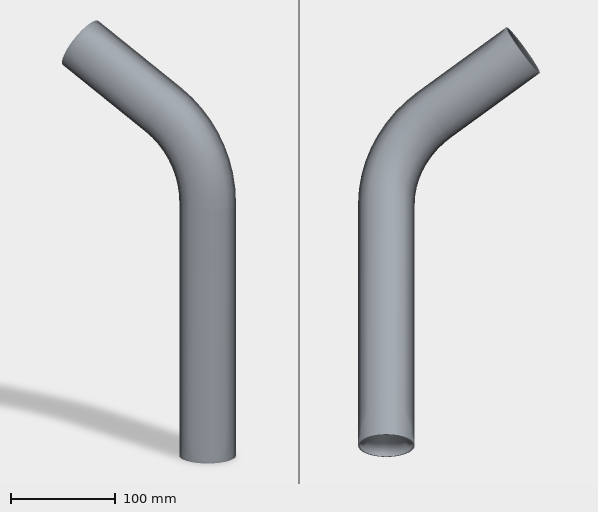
import cadquery as cq
import math

outer_diameter = 54.0
wall = 1.5
outer_radius = outer_diameter / 2

vertical_length = 252.0
bend_radius = 97.5
bend_angle = 60
inclined_length = 105.5


def bend_point(angle):
    """Point on the bend centreline after turning by angle degrees."""
    turn = math.radians(angle)
    return (
        -bend_radius * (1 - math.cos(turn)),
        vertical_length + bend_radius * math.sin(turn),
    )


bend_end = bend_point(bend_angle)
tube_end = (
    bend_end[0] - inclined_length * math.sin(math.radians(bend_angle)),
    bend_end[1] + inclined_length * math.cos(math.radians(bend_angle)),
)

centreline = (
    cq.Workplane("XZ")
    .moveTo(0, 0)
    .lineTo(0, vertical_length)
    .threePointArc(bend_point(bend_angle / 2), bend_end)
    .lineTo(*tube_end)
)

ring = cq.Workplane("XY").circle(outer_radius).circle(outer_radius - wall)
result = ring.sweep(centreline)